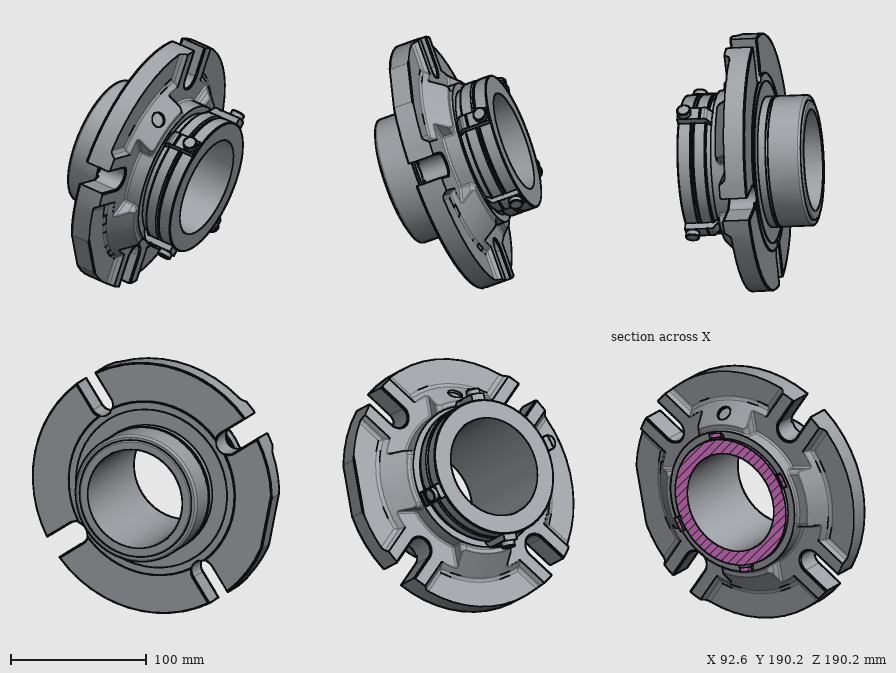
import cadquery as cq
import math


bore_radius = 75.01 / 2
nose_radius = 88.88 / 2
nose_length = 1.2
nose_round = 1.1
spigot_radius = 96.72 / 2
spigot_round = 1.7
spigot_groove_start = 25.2
spigot_groove_end = 27.1
spigot_groove_radius = 93.71 / 2
spigot_back_radius = 96.83 / 2

pilot_radius = 120.07 / 2
pilot_face = 32.7
recess_face = 33.2
recess_radius = 65.6
recess_chamfer = 0.6
flange_front = recess_face + recess_chamfer
flange_back = 49.5
flange_radius = 190.21 / 2
flange_chamfer_along_axis = 1.0
flange_chamfer_inward = 0.6
flat_distance = 93.0
flat_chamfer = 0.8

quarter_turn = 90
slot_angles = [56.25 + quarter_turn * i for i in range(4)]
slot_width = 17.4
slot_center_radius = 72.0
slot_chamfer = 0.9
slot_flare_angle = 45
pad_face = 54.1
pad_half_width = 19.0
pad_slope_width = 3.6
pad_base_round = 4.0
pad_corner_round = 1.0

cone_angle = 45
cone_reach = 124.2
cone_base_round = 4.0
hub_radius = 54.2
hub_end = 66.9
lug_half_width = 22.0
lug_end_round = 3.5
lug_edge_round = 0.8
lug_foot_round = 1.45
lug_end = 65.4
short_lug_end = 62.1
flat_angle = slot_angles[1] + quarter_turn / 2
lug_ends = {
    flat_angle: lug_end,
    flat_angle + quarter_turn: lug_end,
    flat_angle + 2 * quarter_turn: short_lug_end,
    flat_angle + 3 * quarter_turn: lug_end,
}

port_diameter = 11.0
port_axial = 58.6
port_depth = 2.0
port_angle = flat_angle - quarter_turn

sleeve_radius = 97.16 / 2
collar_radius = 103.02 / 2
collar_start = 71.4
collar_end = 92.63
collar_lead_chamfer = 0.9
collar_end_chamfer = 0.6
groove_radius = 90.83 / 2
groove_start = 81.3
groove_end = 82.7
groove_front_chamfer = 1.1
groove_back_chamfer = 0.5

clip_overlap = 0.1
clip_toe_overlap = 0.3
clip_angles = [30, 105, 210, 285]
clip_width = 11.0
clip_top = 56.45
clip_toe_top = 50.3
clip_toe_bottom = sleeve_radius - clip_toe_overlap
clip_toe_end = 68.0
clip_inner_slope_end = 70.8
clip_bottom = collar_radius - clip_overlap
clip_slope_end = 71.6
clip_bend_round = 2.5
clip_groove_start = 75.5
clip_groove_width = 1.1
clip_groove_depth = 0.4
screw_diameter = 10.0
screw_top = 60.5
screw_chamfer = 0.5
screw_axial = collar_end - screw_diameter / 2

past_rim = 1.1 * flange_radius
pick_slack = 0.02


def turned(outline):
    """Solid of revolution about the shaft axis from a drawn (X, radius) outline."""
    return outline.close().revolve(360, (0, 0, 0), (1, 0, 0))


def cylinder(radius, start, end):
    return cq.Workplane("YZ", origin=(start, 0, 0)).circle(radius).extrude(end - start)


def around(shape, angle):
    """Turn a feature made in the +Y direction to its angle about the shaft."""
    return shape.rotate((0, 0, 0), (1, 0, 0), angle)


def make_spigot():
    outline = (
        cq.Workplane("XY")
        .moveTo(0, 0)
        .lineTo(0, nose_radius - nose_round)
        .radiusArc((nose_round, nose_radius), nose_round)
        .lineTo(nose_length, nose_radius)
        .lineTo(nose_length, spigot_radius - spigot_round)
        .radiusArc((nose_length + spigot_round, spigot_radius), spigot_round)
        .lineTo(spigot_groove_start, spigot_radius)
        .lineTo(spigot_groove_start, spigot_groove_radius)
        .lineTo(spigot_groove_end, spigot_groove_radius)
        .lineTo(spigot_groove_end, spigot_back_radius)
        .lineTo(flange_back, spigot_back_radius)
        .lineTo(flange_back, 0)
    )
    return turned(outline)


def slot_cutter():
    """Round-bottomed slot, open at the rim, with a flared edge at the pad face."""
    half_width = slot_width / 2

    def outline(start, half):
        return (
            cq.Workplane("YZ", origin=(start, 0, 0))
            .moveTo(past_rim, half)
            .lineTo(slot_center_radius, half)
            .threePointArc((slot_center_radius - half, 0), (slot_center_radius, -half))
            .lineTo(past_rim, -half)
            .close()
        )

    slot = outline(pilot_face, half_width).extrude(pad_face - pilot_face)
    flare = outline(pad_face, half_width + slot_chamfer).extrude(-slot_chamfer, taper=slot_flare_angle)
    return slot.union(flare)


def cut_slots(shape):
    for angle in slot_angles:
        shape = shape.cut(around(slot_cutter(), angle))
    return shape


def make_flange_plate():
    """Flange disc with its flat and slots, chamfered all round the front face."""
    plate = cylinder(flange_radius, flange_front, flange_back)
    depth = past_rim - flat_distance
    flat = cq.Workplane("XY").box(collar_end, depth, 2 * flange_radius)
    flat = flat.translate((collar_end / 2, flat_distance + depth / 2, 0))
    plate = plate.cut(around(flat, flat_angle))
    direction = math.radians(flat_angle)
    flat_edge = cq.selectors.NearestToPointSelector(
        (flange_back, flat_distance * math.cos(direction), flat_distance * math.sin(direction))
    )
    plate = plate.edges(flat_edge).chamfer(flat_chamfer)
    plate = cut_slots(plate)
    return plate.faces("<X").chamfer(flange_chamfer_inward, flange_chamfer_along_axis)


def make_pilot():
    """Shallow steps in front of the flange face, backed by a plain disc."""
    outline = (
        cq.Workplane("XY")
        .moveTo(pilot_face, 0)
        .lineTo(pilot_face, pilot_radius)
        .lineTo(recess_face, pilot_radius)
        .lineTo(recess_face, recess_radius)
        .lineTo(flange_front, recess_radius + recess_chamfer)
        .lineTo(flange_back, recess_radius + recess_chamfer)
        .lineTo(flange_back, 0)
    )
    return turned(outline)


def make_pads():
    """Sloped bars along the four slots, rounded where they stand on the flange."""
    foot_half_width = pad_half_width + pad_slope_width
    bar = (
        cq.Workplane("XZ")
        .moveTo(flange_front, -flange_radius)
        .lineTo(flange_back, -flange_radius)
        .lineTo(flange_back, -foot_half_width)
        .lineTo(pad_face, -pad_half_width)
        .lineTo(pad_face, pad_half_width)
        .lineTo(flange_back, foot_half_width)
        .lineTo(flange_back, flange_radius)
        .lineTo(flange_front, flange_radius)
        .close()
        .extrude(-past_rim)
    )
    foot = cq.selectors.BoxSelector(
        (flange_back - pick_slack, 0, -foot_half_width - pick_slack),
        (flange_back + pick_slack, past_rim, foot_half_width + pick_slack),
    )
    bar = bar.edges("|Y").edges(foot).fillet(pad_base_round)
    bar = bar.intersect(cylinder(flange_radius, flange_back, pad_face))
    pads = around(bar, slot_angles[0])
    for angle in slot_angles[1:]:
        pads = pads.union(around(bar, angle))
    return pads


def make_cone():
    """Envelope of the hub: a cone with a rounded foot on the flange."""
    foot_radius = cone_reach - flange_back
    tangent = cone_base_round * math.tan(math.radians(cone_angle / 2))
    along_cone = tangent * math.sin(math.radians(cone_angle))
    outline = (
        cq.Workplane("XY")
        .moveTo(flange_back, 0)
        .lineTo(flange_back, foot_radius + tangent)
        .radiusArc((flange_back + along_cone, foot_radius - along_cone), -cone_base_round)
        .lineTo(hub_end, cone_reach - hub_end)
        .lineTo(hub_end, 0)
    )
    return turned(outline)


def make_lug_block(end):
    return (
        cq.Workplane("XZ")
        .center((flange_back + end) / 2, 0)
        .rect(end - flange_back, 2 * lug_half_width)
        .extrude(-past_rim)
        .edges("|Y and >X")
        .fillet(lug_end_round)
    )


def is_on_cone(edge):
    """True for edges that climb along the hub cone."""
    places = [edge.positionAt(share) for share in (0, 0.3, 0.6, 1)]
    reaches = [place.x + math.hypot(place.y, place.z) for place in places]
    climbs = edge.BoundingBox().xlen > pick_slack
    return climbs and all(abs(reach - cone_reach) < pick_slack for reach in reaches)


def is_lug_foot(edge):
    """True on the inside corners where a lug block, the cylinder and the floor meet."""
    corners = [math.hypot(point.Y, point.Z) for point in edge.Vertices()]
    place = edge.Center().x
    on_cylinder = max(corners) < hub_radius + pick_slack and place < lug_end + pick_slack
    on_block = min(corners) < hub_radius + pick_slack and abs(place - pad_face) < pick_slack
    return on_cylinder or on_block


def make_hub():
    """Hub with its lugs: straight blocks and a cylinder, trimmed by the cone."""
    hub = around(cylinder(hub_radius, flange_back, hub_end), slot_angles[0])
    hub = hub.union(cylinder(past_rim, flange_back, pad_face))
    for angle, end in lug_ends.items():
        hub = hub.union(around(make_lug_block(end), angle))
    hub = hub.newObject([edge for edge in hub.edges().vals() if is_lug_foot(edge)])
    hub = hub.fillet(lug_foot_round)
    hub = hub.intersect(around(make_cone(), slot_angles[0]))
    rims = [edge for edge in hub.edges().vals() if is_on_cone(edge)]
    return hub.newObject(rims).fillet(lug_edge_round)


def make_padded_hub():
    """Hub joined to the pads, with rounded corners where the pad slopes meet the cone."""
    body = make_pads().union(make_hub())
    corners = [
        edge
        for edge in body.edges().vals()
        if is_on_cone(edge) and edge.Center().x < pad_face
    ]
    return body.newObject(corners).fillet(pad_corner_round)


def make_port():
    cone_radius = cone_reach - port_axial
    axis = cq.Vector(1, 1, 0).normalized()
    floor = cq.Vector(port_axial, cone_radius, 0) - axis * port_depth
    port = cq.Solid.makeCylinder(port_diameter / 2, 2 * port_depth, floor, axis)
    return around(cq.Workplane(obj=port), port_angle)


def make_collar():
    lead_end = collar_start + collar_lead_chamfer
    outline = (
        cq.Workplane("XY")
        .moveTo(hub_end, 0)
        .lineTo(hub_end, sleeve_radius)
        .lineTo(collar_start, sleeve_radius)
        .lineTo(collar_start, collar_radius - collar_lead_chamfer)
        .lineTo(lead_end, collar_radius)
        .lineTo(groove_start - groove_front_chamfer, collar_radius)
        .lineTo(groove_start, collar_radius - groove_front_chamfer)
        .lineTo(groove_start, groove_radius)
        .lineTo(groove_end, groove_radius)
        .lineTo(groove_end, collar_radius - groove_back_chamfer)
        .lineTo(groove_end + groove_back_chamfer, collar_radius)
        .lineTo(collar_end - collar_end_chamfer, collar_radius)
        .lineTo(collar_end, collar_radius - collar_end_chamfer)
        .lineTo(collar_end, 0)
    )
    return turned(outline)


def make_clip():
    """Segment of a bent ring resting on the sleeve and collar, with its screw."""
    ring = (
        cq.Workplane("XY")
        .moveTo(hub_end, clip_toe_bottom)
        .lineTo(hub_end, clip_toe_top)
        .lineTo(clip_slope_end, clip_top)
        .lineTo(clip_groove_start, clip_top)
        .lineTo(clip_groove_start, clip_top - clip_groove_depth)
        .lineTo(clip_groove_start + clip_groove_width, clip_top - clip_groove_depth)
        .lineTo(clip_groove_start + clip_groove_width, clip_top)
        .lineTo(collar_end, clip_top)
        .lineTo(collar_end, clip_bottom)
        .lineTo(clip_inner_slope_end, clip_bottom)
        .lineTo(clip_toe_end, clip_toe_bottom)
    )
    clip = turned(ring)
    bend_circle = cq.selectors.BoxSelector(
        (clip_slope_end - 0.1, -past_rim, -past_rim),
        (clip_slope_end + 0.1, past_rim, past_rim),
        boundingbox=True,
    )
    clip = clip.edges(bend_circle).fillet(clip_bend_round)
    width_slab = cq.Workplane("XY").box(2 * collar_end, clip_top, clip_width)
    clip = clip.intersect(width_slab.translate((0, clip_top, 0)))
    screw = (
        cq.Workplane("XZ", origin=(screw_axial, clip_bottom, 0))
        .circle(screw_diameter / 2)
        .extrude(clip_bottom - screw_top)
        .faces(">Y")
        .chamfer(screw_chamfer)
    )
    return clip.union(screw)


def make_part():
    part = make_padded_hub().union(make_flange_plate()).union(make_pilot())
    part = cut_slots(part).union(make_spigot()).cut(make_port())
    part = part.union(make_collar())
    for angle in clip_angles:
        part = part.union(around(make_clip(), angle))
    return part.cut(cylinder(bore_radius, 0, collar_end))


result = make_part()